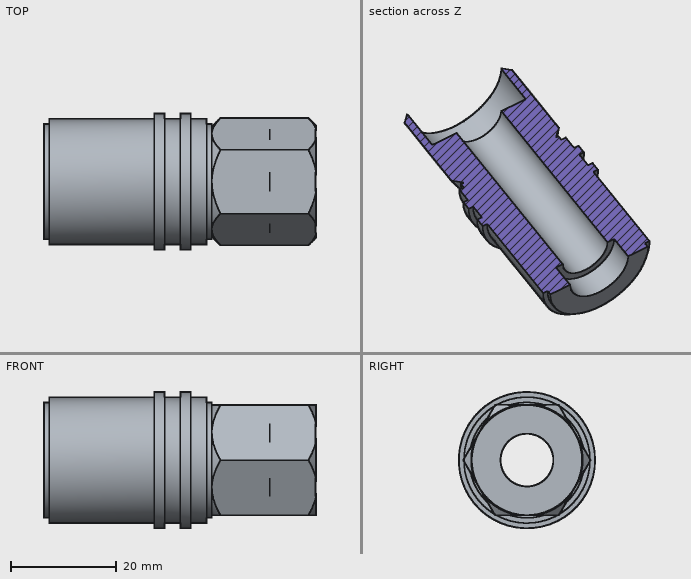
import cadquery as cq
import math

sleeve_length = 32.0
nut_length = 20.0
total_length = sleeve_length + nut_length

sleeve_diameter = 24.0
end_step_diameter = 22.0
end_step_length = 1.0

ring_diameter = 26.0
ring_width = 2.0
ring_starts = (21.0, 26.0)

nut_sides = 6
nut_across_flats = 21.0
nut_across_corners = nut_across_flats / math.cos(math.pi / nut_sides)
corner_chamfer_angle = 45.0

plug_bore_diameter = 13.0
plug_bore_depth = 5.0
through_diameter = 10.0
thread_bore_diameter = 20.955
thread_bore_depth = 9.0
mouth_chamfer = 0.3


def cylinder(start, length, diameter):
    """Round bar on the X axis."""
    return cq.Workplane("YZ").workplane(offset=start).circle(diameter / 2).extrude(length)


def revolve_about_x(points):
    """Solid of revolution from (x, radius) points."""
    return cq.Workplane("XY").polyline(points).close().revolve(360, (0, 0, 0), (1, 0, 0))


def make_sleeve():
    body = cylinder(0, sleeve_length, end_step_diameter)
    main_length = sleeve_length - 2 * end_step_length
    body = body.union(cylinder(end_step_length, main_length, sleeve_diameter))
    for start in ring_starts:
        body = body.union(cylinder(start, ring_width, ring_diameter))
    return body


def make_nut():
    """Hexagonal prism with both ends turned down to the circle inscribed in the hexagon."""
    prism = (
        cq.Workplane("YZ")
        .workplane(offset=sleeve_length)
        .polygon(nut_sides, nut_across_corners)
        .extrude(nut_length)
    )
    inner_radius = nut_across_flats / 2
    outer_radius = nut_across_corners / 2
    chamfer_length = (outer_radius - inner_radius) / math.tan(math.radians(corner_chamfer_angle))
    envelope = revolve_about_x([
        (sleeve_length, 0),
        (sleeve_length, inner_radius),
        (sleeve_length + chamfer_length, outer_radius),
        (total_length - chamfer_length, outer_radius),
        (total_length, inner_radius),
        (total_length, 0),
    ])
    return prism.intersect(envelope)


def make_mouth_cone():
    """45 degree countersink at the open end of the thread bore; it breaks into the nut's end chamfer."""
    bore_radius = thread_bore_diameter / 2
    return revolve_about_x([
        (total_length - mouth_chamfer, 0),
        (total_length - mouth_chamfer, bore_radius),
        (total_length, bore_radius + mouth_chamfer),
        (total_length, 0),
    ])


def cut_bores(body):
    body = body.cut(cylinder(0, total_length, through_diameter))
    body = body.cut(cylinder(0, plug_bore_depth, plug_bore_diameter))
    thread_start = total_length - thread_bore_depth
    body = body.cut(cylinder(thread_start, thread_bore_depth, thread_bore_diameter))
    return body.cut(make_mouth_cone())


result = cut_bores(make_sleeve().union(make_nut()))